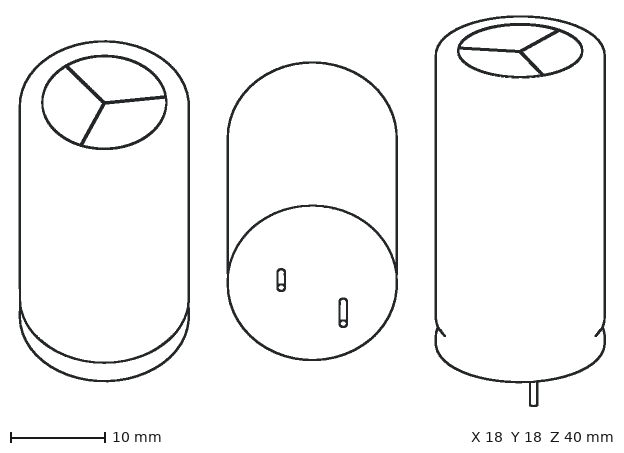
import cadquery as cq


can_diameter = 18.0
can_height = 35.0
rim_fillet = 0.65

groove_height = 2.5
groove_depth = 0.5
groove_radius = 0.92
groove_lip_fillet = 0.7

recess_radius = 6.6
recess_depth = 0.1
score_width = 0.1
score_depth = 0.1
score_angles = (60, 180, 300)

lead_diameter = 0.8
lead_pitch = 7.5
long_lead_length = 5.0
short_lead_length = 3.5

can_radius = can_diameter / 2
recess_floor = can_height - recess_depth


def make_can():
    """Cylinder with rounded rims and a rolled groove whose lips are rounded."""
    can = cq.Workplane("XY").circle(can_radius).extrude(can_height)
    can = can.edges("%CIRCLE").fillet(rim_fillet)
    roller_centre = can_radius - groove_depth + groove_radius
    groove = (
        cq.Workplane("XZ")
        .center(roller_centre, groove_height)
        .circle(groove_radius)
        .revolve(360, (-roller_centre, 0), (-roller_centre, 1))
    )
    can = can.cut(groove)
    lips = cq.selectors.BoxSelector(
        (-can_diameter, -can_diameter, groove_height - groove_radius),
        (can_diameter, can_diameter, groove_height + groove_radius),
    )
    return can.edges("%CIRCLE").edges(lips).fillet(groove_lip_fillet)


def make_vent():
    """Material removed from the top: the recess and the score lines in its floor."""
    vent = cq.Workplane("XY", origin=(0, 0, recess_floor)).circle(recess_radius).extrude(recess_depth)
    score = (
        cq.Workplane("XY", origin=(recess_radius / 2, 0, recess_floor - score_depth))
        .rect(recess_radius, score_width)
        .extrude(score_depth)
    )
    for angle in score_angles:
        vent = vent.union(score.rotate((0, 0, 0), (0, 0, 1), angle))
    return vent


def make_lead(x, length):
    """Round lead hanging from the base of the can."""
    return cq.Workplane("XY", origin=(x, 0, 0)).circle(lead_diameter / 2).extrude(-length)


result = make_can().cut(make_vent())
result = result.union(make_lead(-lead_pitch / 2, long_lead_length))
result = result.union(make_lead(lead_pitch / 2, short_lead_length))